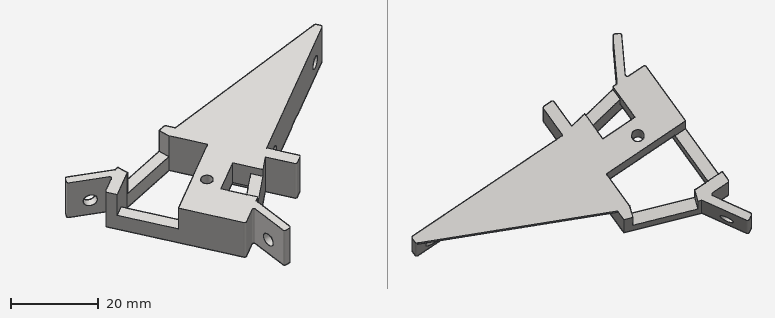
import cadquery as cq
import math

height = 11.0
depth = 67.0
span = 53.7

half_width = 16.8
wall = 2.9
bar = 2.95
bar_back = 24.9
bar_front = bar_back - bar
bar_end = 22.0
left_lean = 20.3
right_lean = 10.0
left_bend = 7.85
right_bend = 8.7
edge_radius = 0.5

low_wall = 4.4
left_low_start = 0.8
left_low_length = 15.3

plate_left = 0.7
plate_right = half_width - wall
plate_bottom = 4.75
window_left = 8.0
window_front = 9.0
window_back = 17.9
window_floor = 8.85
plate_hole = 2.8
plate_hole_x = 4.0
plate_hole_y = 10.9

thin_wall = 2.0
tail_right = 13.9
tail_left = tail_right - thin_wall
web_thickness = 1.2
web_left = -8.0
web_tip = 66.6

screw_hole = 3.3
screw_height = 4.4
countersink = 5.75
countersink_angle = 90.0
rear_hole_y = 61.45
front_hole_y = 30.5
relief_radius = 7.4
relief_rise = 0.4

ear_droop = 30.0
ear_root_y = 6.55
ear_hole_x = 21.8
ear_root_radius = 0.435


def box(x0, x1, y0, y1, z0, z1):
    """Axis-aligned block between the given limits."""
    return cq.Workplane("XY").box(x1 - x0, y1 - y0, z1 - z0, centered=False).translate((x0, y0, z0))


def prism(points, z0, z1):
    """Upright solid with the given plan outline."""
    return cq.Workplane("XY").workplane(offset=z0).polyline(points).close().extrude(z1 - z0)


def bend_drop(lean):
    """Drop of the inner corner below the outer corner where a wall bends."""
    return wall * math.tan(math.radians(lean) / 2)


def lean_x(lean, run):
    """Sideways shift of a leaning wall over a run along Y."""
    return run * math.tan(math.radians(lean))


def make_frame():
    """Ring of walls with a crossbar that runs past its rear right corner."""
    left_top = -half_width + lean_x(left_lean, bar_back - left_bend)
    right_top = half_width - lean_x(right_lean, bar_back - right_bend)
    outer = prism(
        [
            (-half_width, 0),
            (half_width, 0),
            (half_width, right_bend),
            (right_top, bar_back),
            (left_top, bar_back),
            (-half_width, left_bend),
        ],
        0,
        height,
    )
    outer = outer.edges("|Z and <Y").fillet(edge_radius)

    inner_half = half_width - wall
    left_inner = left_bend - bend_drop(left_lean)
    right_inner = right_bend - bend_drop(right_lean)
    opening = prism(
        [
            (-inner_half, bar),
            (inner_half, bar),
            (inner_half, right_inner),
            (inner_half - lean_x(right_lean, bar_front - right_inner), bar_front),
            (-inner_half + lean_x(left_lean, bar_front - left_inner), bar_front),
            (-inner_half, left_inner),
        ],
        0,
        height,
    )
    crossbar = box(0, bar_end, bar_front, bar_back, 0, height).edges("|Z and >X").fillet(edge_radius)
    return outer.union(crossbar).cut(opening)


def lower_walls(frame):
    """Cut the front wall and the left wall down to the low height."""
    front_gap = box(-half_width + wall, plate_left, 0, bar, low_wall, height)
    left_gap = (
        box(-wall, wall, left_low_start, left_low_start + left_low_length, low_wall, height)
        .rotate((0, 0, 0), (0, 0, 1), -left_lean)
        .translate((-half_width, left_bend, 0))
    )
    return frame.cut(front_gap).cut(left_gap)


def add_plate(body):
    """Bridge the right side with a plate and open its window through to the right wall."""
    plate = box(plate_left, plate_right, bar, bar_front, plate_bottom, height)
    hole = (
        cq.Workplane("XY")
        .center(plate_hole_x, plate_hole_y)
        .circle(plate_hole / 2)
        .extrude(height)
    )
    window = box(window_left, plate_right, window_front, window_back, 0, height)
    plate = plate.cut(window).cut(hole)
    wall_gap = box(window_left, half_width, window_front, window_back, window_floor, height)
    return body.union(plate).cut(wall_gap)


def x_cylinder(radius, y, z):
    """Cylinder along X through the tail wall."""
    return (
        cq.Workplane("YZ")
        .workplane(offset=tail_left)
        .center(y, z)
        .circle(radius)
        .extrude(thin_wall)
    )


def make_tail():
    """Tail wall with screw holes, a rounded relief below and a web along its top."""
    tail = box(tail_left, tail_right, bar_front, depth, 0, height)
    tail = tail.edges("|Z and >Y").fillet(edge_radius)
    web = prism(
        [(web_left, bar_back), (tail_left, bar_back), (tail_left, web_tip)],
        height - web_thickness,
        height,
    )
    for y in (front_hole_y, rear_hole_y):
        tail = tail.cut(x_cylinder(screw_hole / 2, y, screw_height))
    sink_depth = (countersink - screw_hole) / 2 / math.tan(math.radians(countersink_angle) / 2)
    sink = cq.Solid.makeCone(
        countersink / 2,
        screw_hole / 2,
        sink_depth,
        cq.Vector(tail_left, rear_hole_y, screw_height),
        cq.Vector(1, 0, 0),
    )
    relief_y = (front_hole_y + rear_hole_y) / 2
    relief = x_cylinder(relief_radius, relief_y, relief_rise - relief_radius)
    return tail.cut(cq.Workplane(sink)).cut(relief).union(web)


def make_ear():
    """Right ear, starting inside the side wall and drooping toward the front."""
    droop = math.radians(ear_droop)
    reach = span / 2 - half_width
    corner = (thin_wall / 2 - edge_radius) * math.sin(droop) + edge_radius
    length = (reach - corner) / math.cos(droop) + edge_radius
    ear = box(-wall / 2, length, -thin_wall / 2, thin_wall / 2, 0, height)
    ear = ear.edges("|Z and >X").fillet(edge_radius)
    hole = (
        cq.Workplane("XZ")
        .workplane(offset=-thin_wall)
        .center((ear_hole_x - half_width) / math.cos(droop), screw_height)
        .circle(screw_hole / 2)
        .extrude(2 * thin_wall)
    )
    ear = ear.cut(hole)
    return ear.rotate((0, 0, 0), (0, 0, 1), -ear_droop).translate((half_width, ear_root_y, 0))


def round_ear_roots(body):
    """Fillet the front corners between the ears and the side walls."""
    root_y = ear_root_y - thin_wall / 2 / math.cos(math.radians(ear_droop))
    for side in (-1, 1):
        root = cq.selectors.NearestToPointSelector((side * half_width, root_y, height / 2))
        body = body.edges("|Z").edges(root).fillet(ear_root_radius)
    return body


frame = add_plate(lower_walls(make_frame()))
ear = make_ear()
body = frame.union(make_tail()).union(ear).union(ear.mirror("YZ"))
result = round_ear_roots(body)